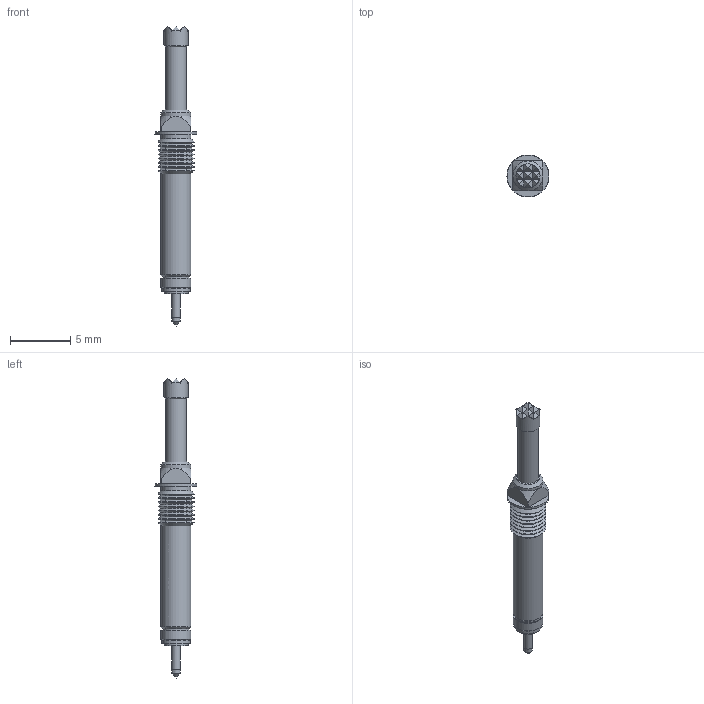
import cadquery as cq
import math

total_height = 25.0

pin_radius = 0.35
pin_point_radius = 0.34
pin_point_height = 0.36
pin_taper_top = 0.73

barrel_radius = 1.25
barrel_bottom = 2.7
end_radius = 1.0
step_radius = 1.18
step_bottom = barrel_bottom + 0.2
step_top = 3.15
step_chamfer = barrel_radius - step_radius
groove_bottom = 3.98
groove_width = 0.14
groove_depth = 0.13

thread_radius = 1.5
thread_root_radius = 1.3
thread_pitch = 0.35
thread_flat = 0.044
thread_ring_count = 8
thread_first_crest = 12.905
thread_bottom = 12.68
thread_top = 15.62

flange_radius = 1.75
flange_thickness = 0.2
flange_bottom = 16.0
flange_top = flange_bottom + flange_thickness
square_width = 2.5
square_taper_angle = 30.0
square_top = 17.5

neck_radius = 1.25
neck_top_radius = 1.0
neck_chamfer = neck_radius - neck_top_radius
neck_top = 18.0

plunger_radius = 0.875
crown_radius = 1.0
crown_height = 1.65
crown_underside_drop = 0.07
crown_bottom = total_height - crown_height
tooth_rows = 3
tooth_pitch = 0.68
tooth_depth = 0.42


def revolve_profile(points):
    """Revolve a closed (radius, height) outline around the Z axis."""
    return cq.Workplane("XZ").polyline(points).close().revolve(360, (0, 0, 0), (0, 1, 0))


def make_pin():
    return revolve_profile([
        (0, 0),
        (pin_point_radius, pin_point_height),
        (pin_radius, pin_taper_top),
        (pin_radius, step_top),
        (0, step_top),
    ])


def thread_outline():
    """Flat crests and roots from the bottom up; the end crests are cut to sharp edges."""
    points = []
    for ring in range(thread_ring_count):
        crest = thread_first_crest + ring * thread_pitch
        is_first = ring == 0
        is_last = ring == thread_ring_count - 1
        if not is_first:
            root = crest - thread_pitch / 2
            points.append((thread_root_radius, root - thread_flat / 2))
            points.append((thread_root_radius, root + thread_flat / 2))
            points.append((thread_radius, crest - thread_flat / 2))
        if not is_last:
            points.append((thread_radius, crest + thread_flat / 2))
    return points


def make_barrel():
    groove_radius = barrel_radius - groove_depth
    groove_top = groove_bottom + groove_width
    return revolve_profile([
        (0, barrel_bottom),
        (end_radius, barrel_bottom),
        (end_radius, step_bottom),
        (step_radius, step_bottom),
        (step_radius, step_top),
        (barrel_radius, step_top + step_chamfer),
        (barrel_radius, groove_bottom),
        (groove_radius, groove_bottom),
        (groove_radius, groove_top),
        (barrel_radius, groove_top + groove_depth),
        (barrel_radius, thread_bottom),
        *thread_outline(),
        (barrel_radius, thread_top),
        (barrel_radius, flange_bottom),
        (flange_radius, flange_bottom),
        (flange_radius, flange_top),
        (neck_radius, flange_top),
        (neck_radius, neck_top - neck_chamfer),
        (neck_top_radius, neck_top),
        (0, neck_top),
    ])


def make_wrench_square():
    """Square section whose corners are turned to the flange radius and a cone."""
    taper_height = (flange_radius - neck_radius) / math.tan(math.radians(square_taper_angle))
    turned_blank = revolve_profile([
        (0, flange_bottom),
        (flange_radius, flange_bottom),
        (flange_radius, square_top - taper_height),
        (neck_radius, square_top),
        (0, square_top),
    ])
    square_height = square_top - flange_bottom
    square = (
        cq.Workplane("XY")
        .workplane(offset=flange_bottom)
        .rect(square_width, square_width)
        .extrude(square_height)
    )
    return turned_blank.intersect(square)


def make_tooth_ridges():
    """Bar along Y with parallel V-shaped ridges on its top face."""
    outer_edge = tooth_rows * tooth_pitch / 2
    valley_height = total_height - tooth_depth
    ridge_base = crown_bottom - crown_underside_drop
    points = [(-outer_edge, ridge_base), (-outer_edge, valley_height)]
    for row in range(tooth_rows):
        valley = -outer_edge + row * tooth_pitch
        points.append((valley + tooth_pitch / 2, total_height))
        points.append((valley + tooth_pitch, valley_height))
    points.append((outer_edge, ridge_base))
    return cq.Workplane("XZ").polyline(points).close().extrude(outer_edge, both=True)


def make_plunger():
    shaft = revolve_profile([
        (0, flange_bottom),
        (plunger_radius, flange_bottom),
        (plunger_radius, crown_bottom),
        (0, crown_bottom),
    ])
    crown_blank = revolve_profile([
        (0, crown_bottom - crown_underside_drop),
        (plunger_radius, crown_bottom - crown_underside_drop),
        (crown_radius, crown_bottom),
        (crown_radius, total_height),
        (0, total_height),
    ])
    ridges = make_tooth_ridges()
    crossing_ridges = ridges.rotate((0, 0, 0), (0, 0, 1), 90)
    return shaft.union(crown_blank.intersect(ridges).intersect(crossing_ridges))


result = make_pin().union(make_barrel()).union(make_wrench_square()).union(make_plunger())